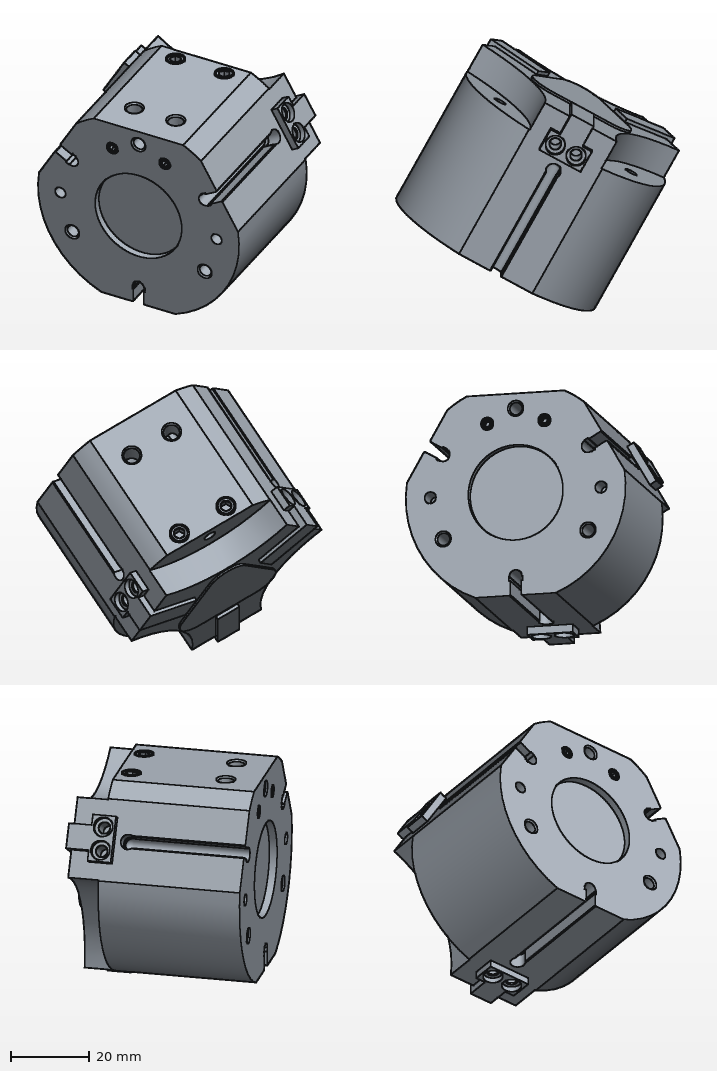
import cadquery as cq
import math


body_radius = 29.0
flat_distance = 26.95
top_distance = 26.0
housing_length = 45.0
step_y = 37.0
scallop_radius = 30.0
scallop_distance = 16.4
jaw_angles = (270, 30, 150)
cut_size = 3 * body_radius

cover_height = 0.6
cover_corner_radius = 6.0
cover_flat_distance = 10.85

recess_diameter = 25.0
recess_depth = 2.05
mount_circle_radius = 22.05
mount_hole_diameter = 3.25
mount_chamfer_diameter = 4.1
pin_hole_diameter = 3.0
pin_hole_depth = 6.0
pin_hole_x = 22.5

slot_neck_width = 2.9
slot_edge_chamfer = 0.25
slot_wide_width = 3.65
slot_entry_diameter = 3.8
slot_round_diameter = 3.3
slot_shoulder_distance = 23.1
slot_round_distance = 22.0
slot_end_y = 30.5

port_plug_diameter = 5.0
port_plug_top_diameter = 4.1
port_plug_length = 5.0
port_plug_x = 7.0
port_plug_y = 33.5
port_plug_hex = 2.5
open_port_diameter = 4.1
open_port_chamfer_diameter = 5.0
open_port_x = 6.0
open_port_y = 9.05
open_port_depth = 7.5
drill_point_angle = 120

passage_diameter = 2.45
passage_depth = 9.4
passage_x = 7.55
passage_z = 18.5
passage_plug_diameter = 3.25
passage_plug_top_diameter = 2.45
passage_plug_length = 3.0
passage_plug_hex = 1.5
hex_depth_ratio = 0.5

jaw_outer_distance = 29.0
jaw_inner_distance = 13.0
jaw_width = 6.5
jaw_back_y = 46.0
jaw_block_width = 12.0
jaw_block_start_y = 34.0
jaw_block_end_y = 40.0
jaw_hole_spacing = 6.05
jaw_hole_diameter = 3.0
jaw_counterbore_diameter = 5.0
jaw_counterbore_depth = 1.5
jaw_hole_depth_in_housing = 6.0
jaw_hole_y = (jaw_block_start_y + jaw_block_end_y) / 2

Y_AXIS = cq.Vector(0, 1, 0)
DOWN = cq.Vector(0, 0, -1)


def box_between(x, y, z):
    """Box from (low, high) pairs along X, Y and Z."""
    size = (x[1] - x[0], y[1] - y[0], z[1] - z[0])
    return cq.Workplane("XY").box(*size, centered=False).translate((x[0], y[0], z[0]))


def turn_to_flat(shape, angle):
    """Turn a shape built on the bottom flat (direction -Z) to the flat at the given angle."""
    return shape.rotate((0, 0, 0), (0, 1, 0), 270 - angle)


def polar(distance, angle):
    """X and Z of a point in the given direction from the axis."""
    return distance * math.cos(math.radians(angle)), distance * math.sin(math.radians(angle))


def cylinder(diameter, length, start, direction):
    return cq.Workplane(cq.Solid.makeCylinder(diameter / 2, length, start, direction))


def chamfered_hole(diameter, chamfer_diameter, depth, start, direction):
    """Hole cutter whose mouth widens to the chamfer diameter at 45 degrees."""
    chamfer_depth = (chamfer_diameter - diameter) / 2
    mouth = cq.Solid.makeCone(chamfer_diameter / 2, diameter / 2, chamfer_depth, start, direction)
    return cylinder(diameter, depth, start, direction).union(cq.Workplane(mouth))


def housing_blank():
    """Round body with three jaw flats and the flat top."""
    blank = cylinder(2 * body_radius, housing_length, cq.Vector(0, 0, 0), Y_AXIS)
    outside = box_between(
        (-cut_size, cut_size), (-cut_size, cut_size), (-cut_size, -flat_distance))
    for angle in jaw_angles:
        blank = blank.cut(turn_to_flat(outside, angle))
    return blank.cut(box_between(
        (-cut_size, cut_size), (-cut_size, cut_size), (top_distance, cut_size)))


def rear_scallops():
    """Hollows around the rear section, each between two neighbouring jaw flats."""
    cutters = cq.Workplane()
    for angle in jaw_angles:
        x, z = polar(scallop_distance + scallop_radius, angle + 180)
        start = cq.Vector(x, step_y, z)
        cutters = cutters.add(cylinder(2 * scallop_radius, housing_length - step_y, start, Y_AXIS))
    return cutters.combine()


def rear_cover():
    corner_distance = 2 * (cover_flat_distance - cover_corner_radius)
    corners = [polar(corner_distance, angle + 180) for angle in jaw_angles]
    plate = cq.Workplane("XZ", origin=(0, housing_length, 0)).polyline(corners).close()
    return plate.offset2D(cover_corner_radius).extrude(-cover_height)


def sensor_slot():
    """Undercut slot in the bottom flat, ending in a round-bottomed insertion hole."""
    neck = box_between(
        (-slot_neck_width / 2, slot_neck_width / 2),
        (0, slot_end_y),
        (-flat_distance, -slot_shoulder_distance))
    chamfers = (
        cq.Workplane("XZ")
        .moveTo(-slot_neck_width / 2 - slot_edge_chamfer, -flat_distance)
        .lineTo(slot_neck_width / 2 + slot_edge_chamfer, -flat_distance)
        .lineTo(slot_neck_width / 2, -flat_distance + slot_edge_chamfer)
        .lineTo(-slot_neck_width / 2, -flat_distance + slot_edge_chamfer)
        .close()
        .extrude(-slot_end_y)
    )
    wide = box_between(
        (-slot_wide_width / 2, slot_wide_width / 2),
        (0, slot_end_y),
        (-slot_shoulder_distance, -slot_round_distance))
    bottom = cylinder(
        slot_round_diameter, slot_end_y, cq.Vector(0, 0, -slot_round_distance), Y_AXIS)
    entry_hole = cylinder(
        slot_entry_diameter,
        flat_distance - slot_shoulder_distance,
        cq.Vector(0, slot_end_y, -slot_shoulder_distance),
        DOWN)
    wide_hole = cylinder(
        slot_wide_width,
        slot_shoulder_distance - slot_round_distance,
        cq.Vector(0, slot_end_y, -slot_round_distance),
        DOWN)
    end_ball = cq.Workplane("XY").sphere(slot_round_diameter / 2)
    end_ball = end_ball.translate((0, slot_end_y, -slot_round_distance))
    return neck.union(chamfers).union(wide).union(bottom).union(entry_hole).union(wide_hole).union(end_ball)


def jaw_screw_holes():
    holes = cq.Workplane()
    for side in (-1, 1):
        start = cq.Vector(side * jaw_hole_spacing / 2, jaw_hole_y, -flat_distance)
        holes = holes.add(cylinder(jaw_hole_diameter, jaw_hole_depth_in_housing, start, -DOWN))
    return holes.combine()


def mounting_face_holes():
    """Central recess, three through holes and two locating pin holes."""
    holes = cylinder(recess_diameter, recess_depth, cq.Vector(0, 0, 0), Y_AXIS)
    for angle in jaw_angles:
        x, z = polar(mount_circle_radius, angle + 180)
        holes = holes.add(chamfered_hole(
            mount_hole_diameter, mount_chamfer_diameter, housing_length, cq.Vector(x, 0, z), Y_AXIS))
    for side in (-1, 1):
        start = cq.Vector(side * pin_hole_x, 0, 0)
        holes = holes.add(cylinder(pin_hole_diameter, pin_hole_depth, start, Y_AXIS))
    return holes.combine()


def air_ports(side):
    """One side's plugged port, open port and the passage that meets the open port."""
    plugged_hole = cylinder(
        port_plug_diameter, port_plug_length,
        cq.Vector(side * port_plug_x, port_plug_y, top_distance), DOWN)
    open_port = chamfered_hole(
        open_port_diameter, open_port_chamfer_diameter, open_port_depth,
        cq.Vector(side * open_port_x, open_port_y, top_distance), DOWN)
    point_height = open_port_diameter / 2 / math.tan(math.radians(drill_point_angle / 2))
    drill_point = cq.Workplane(cq.Solid.makeCone(
        open_port_diameter / 2, 0, point_height,
        cq.Vector(side * open_port_x, open_port_y, top_distance - open_port_depth), DOWN))
    passage_mouth = cq.Vector(side * passage_x, 0, passage_z)
    passage = cylinder(passage_diameter, passage_depth, passage_mouth, Y_AXIS)
    passage_thread = cylinder(passage_plug_diameter, passage_plug_length, passage_mouth, Y_AXIS)
    return plugged_hole.union(open_port).union(drill_point).union(passage).union(passage_thread)


def make_housing():
    housing = housing_blank().cut(rear_scallops()).union(rear_cover())
    for angle in jaw_angles:
        housing = housing.cut(turn_to_flat(sensor_slot(), angle))
        housing = housing.cut(turn_to_flat(jaw_screw_holes(), angle))
    housing = housing.cut(mounting_face_holes())
    for side in (-1, 1):
        housing = housing.cut(air_ports(side))
    return housing


def make_jaw(angle):
    """L-shaped jaw: a screwed block on the flat and a finger folded over the rear face."""
    half_width = jaw_width / 2
    half_block = jaw_block_width / 2
    on_flat = (-jaw_outer_distance, -flat_distance)
    jaw = box_between((-half_block, half_block), (jaw_block_start_y, jaw_block_end_y), on_flat)
    jaw = jaw.union(box_between((-half_width, half_width), (jaw_block_end_y, jaw_back_y), on_flat))
    jaw = jaw.union(box_between(
        (-half_width, half_width),
        (housing_length, jaw_back_y),
        (-jaw_outer_distance, -jaw_inner_distance)))
    for side in (-1, 1):
        start = cq.Vector(side * jaw_hole_spacing / 2, jaw_hole_y, -jaw_outer_distance)
        jaw = jaw.cut(cylinder(jaw_counterbore_diameter, jaw_counterbore_depth, start, -DOWN))
        jaw = jaw.cut(cylinder(jaw_hole_diameter, jaw_outer_distance - flat_distance, start, -DOWN))
    return turn_to_flat(jaw, angle)


def make_plug(diameter, top_diameter, length, hex_flats, mouth):
    """Threaded plug, flush with its hole, with a chamfered rim and a countersunk hex socket.

    The mouth is a workplane on the hole's opening, facing outward.
    """
    hex_corners = hex_flats / math.cos(math.radians(30))
    rim_chamfer = (diameter - top_diameter) / 2
    countersink_depth = (hex_corners - hex_flats) / 2
    outermost = cq.selectors.DirectionMinMaxSelector(mouth.plane.zDir)
    plug = mouth.circle(diameter / 2).extrude(-length).faces(outermost).chamfer(rim_chamfer)
    socket = mouth.polygon(6, hex_corners).extrude(-length * hex_depth_ratio)
    countersink = cq.Workplane(cq.Solid.makeCone(
        hex_corners / 2, hex_flats / 2, countersink_depth, mouth.plane.origin, -mouth.plane.zDir))
    return plug.cut(socket).cut(countersink)


def make_port_plug(side):
    mouth = cq.Workplane("XY", origin=(side * port_plug_x, port_plug_y, top_distance))
    return make_plug(
        port_plug_diameter, port_plug_top_diameter, port_plug_length, port_plug_hex, mouth)


def make_passage_plug(side):
    mouth = cq.Workplane("XZ", origin=(side * passage_x, 0, passage_z))
    return make_plug(
        passage_plug_diameter, passage_plug_top_diameter, passage_plug_length,
        passage_plug_hex, mouth)


housing = make_housing()
jaws = [make_jaw(angle) for angle in jaw_angles]
port_plugs = [make_port_plug(side) for side in (-1, 1)]
passage_plugs = [make_passage_plug(side) for side in (-1, 1)]

bodies = [housing, *jaws, *port_plugs, *passage_plugs]
result = cq.Compound.makeCompound([body.solids().val() for body in bodies])